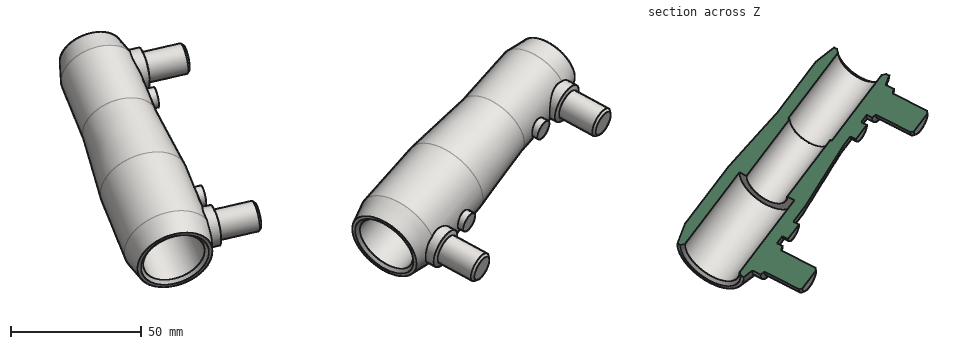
import cadquery as cq

length = 110.0
small_radius = 15.0
large_radius = 17.5
nose_length = 9.5
nose_drop = 2.4
taper_start = 37.6
taper_end = 69.1

socket_wall = 5.2
mouth_chamfer = 1.3
neck_radius = 9.1

bolt_inset = 12.4
bolt_radius = 6.0
bolt_height = 19.5
bolt_chamfer = 1.0
collar_radius = 8.0
collar_height = 2.4
collar_rise = 0.5
stud_inset = 28.3
stud_radius = 4.1
stud_height = 2.5

small_socket = small_radius - socket_wall
large_socket = large_radius - socket_wall


def make_sleeve():
    """Revolve the outer outline and the stepped bore as one section about X."""
    section = (
        cq.Workplane("XY")
        .moveTo(0, small_socket + mouth_chamfer)
        .lineTo(0, small_radius - nose_drop)
        .lineTo(nose_length, small_radius)
        .lineTo(taper_start, small_radius)
        .lineTo(taper_end, large_radius)
        .lineTo(length - nose_length, large_radius)
        .lineTo(length, large_radius - nose_drop)
        .lineTo(length, large_socket + mouth_chamfer)
        .lineTo(length - mouth_chamfer, large_socket)
        .lineTo(taper_end, large_socket)
        .lineTo(taper_end, neck_radius)
        .lineTo(taper_start, neck_radius)
        .lineTo(taper_start, small_socket)
        .lineTo(mouth_chamfer, small_socket)
        .close()
    )
    return section.revolve(360, (0, 0, 0), (1, 0, 0))


def post(x, base, top, radius):
    """Cylinder pointing along +Y between two heights from the sleeve axis."""
    plane = cq.Plane(origin=(x, base, 0), xDir=(1, 0, 0), normal=(0, 1, 0))
    return cq.Workplane(plane).circle(radius).extrude(top - base)


def make_bolt_set(bolt_x, stud_x, barrel_radius, socket_radius):
    """Collared bolt and small stud, rooted in the wall and clear of the socket."""
    bolt = post(bolt_x, 0, barrel_radius + bolt_height, bolt_radius)
    bolt = bolt.faces(">Y").chamfer(bolt_chamfer)
    rim = barrel_radius + collar_height
    collar = post(bolt_x, 0, rim, collar_radius)
    cone_base = cq.Vector(bolt_x, rim, 0)
    cone = cq.Solid.makeCone(collar_radius, bolt_radius, collar_rise, cone_base, cq.Vector(0, 1, 0))
    collar = collar.union(cq.Workplane(cone))
    stud = post(stud_x, 0, barrel_radius + stud_height, stud_radius)
    socket = cq.Workplane("YZ").circle(socket_radius).extrude(length)
    return bolt.union(collar).union(stud).cut(socket)


small_bolts = make_bolt_set(bolt_inset, stud_inset, small_radius, small_socket)
large_bolts = make_bolt_set(length - bolt_inset, length - stud_inset, large_radius, large_socket)

result = make_sleeve().union(small_bolts).union(large_bolts)